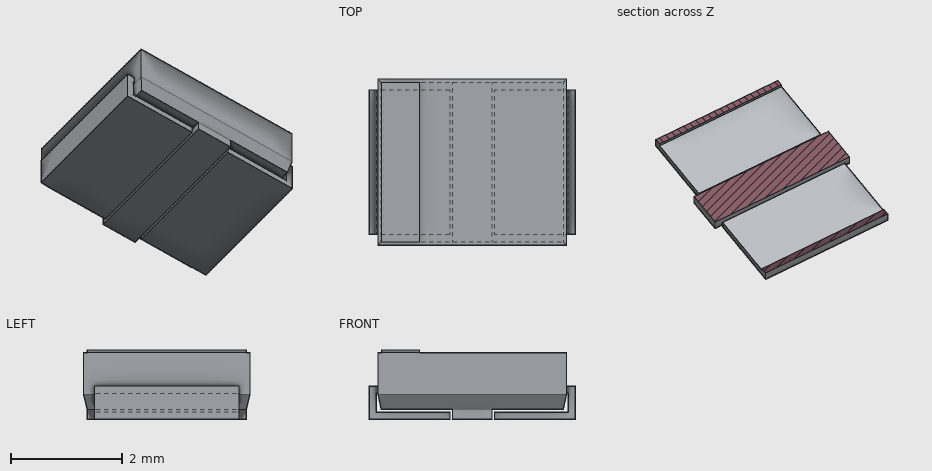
import cadquery as cq

total_length = 3.71
total_height = 1.25

housing_length = 3.4
housing_width = 3.0
mark_thickness = 0.05
housing_top = total_height - mark_thickness
waist_height = 0.45
underside_height = 0.178
taper_inset_x = 0.06
taper_inset_y = 0.065
underside_length = housing_length - 2 * taper_inset_x
underside_width = housing_width - 2 * taper_inset_y
foot_length = 0.72

mark_inset = 0.065
mark_length = 0.683
mark_width = housing_width - 2 * mark_inset

terminal_width = 2.6
terminal_thickness = 0.13
terminal_height = 0.597
terminal_reach = 1.455


def make_housing():
    upper_block = (
        cq.Workplane("XY", origin=(0, 0, waist_height))
        .rect(housing_length, housing_width)
        .extrude(housing_top - waist_height)
    )
    tapered_base = (
        cq.Workplane("XY", origin=(0, 0, underside_height))
        .rect(underside_length, underside_width)
        .workplane(offset=waist_height - underside_height)
        .rect(housing_length, housing_width)
        .loft(ruled=True)
    )
    foot = cq.Workplane("XY").rect(foot_length, underside_width).extrude(underside_height)
    return upper_block.union(tapered_base).union(foot)


def make_polarity_mark():
    center_x = -housing_length / 2 + mark_inset + mark_length / 2
    return (
        cq.Workplane("XY", origin=(center_x, 0, housing_top))
        .rect(mark_length, mark_width)
        .extrude(mark_thickness)
    )


def make_terminal(side):
    """Build one terminal; side is -1 for the -X end and +1 for the +X end."""
    outer_x = side * total_length / 2
    wall_x = side * (total_length / 2 - terminal_thickness)
    housing_x = side * housing_length / 2
    tip_x = side * (total_length / 2 - terminal_reach)
    profile = [
        (outer_x, 0),
        (tip_x, 0),
        (tip_x, terminal_thickness),
        (wall_x, terminal_thickness),
        (wall_x, terminal_height - terminal_thickness),
        (housing_x, terminal_height - terminal_thickness),
        (housing_x, terminal_height),
        (outer_x, terminal_height),
    ]
    return cq.Workplane("XZ").polyline(profile).close().extrude(terminal_width / 2, both=True)


housing = make_housing()
polarity_mark = make_polarity_mark()
terminals = [make_terminal(side).val() for side in (-1, 1)]

result = cq.Compound.makeCompound([housing.val(), polarity_mark.val(), *terminals])